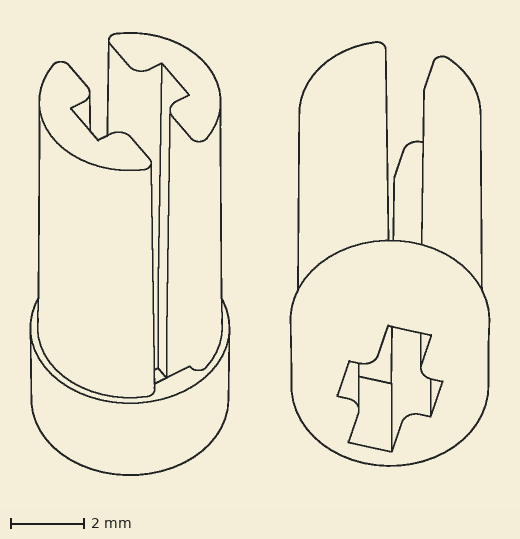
import cadquery as cq
import math

collar_top_radius = 2.73
collar_height = 3.15
collar_edge_radius = 0.15

post_foot_radius = 2.53
post_height = 9.5

collar_draft_angle = 0.5
post_draft_angle = 0.25
slot_draft_angle = 0.4
notch_end_draft_angle = 1.0

slot_half_width = 0.615
notch_half_width = 0.62
notch_half_length = 1.325
collar_slot_half_length = 2.06

inner_corner_radius = 0.4
outer_corner_radius = 0.25

position_tolerance = 0.01
upright_direction_min = 0.99


def draft_offset(height, angle):
    """Sideways shift of a drafted wall over the given height."""
    return height * math.tan(math.radians(angle))


collar_bottom_radius = collar_top_radius - draft_offset(collar_height, collar_draft_angle)
post_tip_radius = post_foot_radius - draft_offset(post_height, post_draft_angle)
wall_shift = draft_offset(post_height, slot_draft_angle)
notch_end_shift = draft_offset(post_height, notch_end_draft_angle)


def cone(bottom_radius, top_radius, base_z, height):
    """Slightly conical solid about the Z axis."""
    return cq.Workplane("XY").add(
        cq.Solid.makeCone(bottom_radius, top_radius, height, pnt=cq.Vector(0, 0, base_z))
    )


def block(half_x, half_y, base_z, height):
    """Straight block centred on the Z axis."""
    return cq.Workplane("XY").workplane(offset=base_z).rect(2 * half_x, 2 * half_y).extrude(height)


def flared_block(half_x, half_y, shift_x, shift_y):
    """Block over the post height whose sides open out towards the tip."""
    return (
        cq.Workplane("XY")
        .workplane(offset=collar_height)
        .rect(2 * half_x, 2 * half_y)
        .workplane(offset=post_height)
        .rect(2 * (half_x + shift_x), 2 * (half_y + shift_y))
        .loft(ruled=True)
    )


def slot_wall_edges(body, radius_min, radius_max):
    """Upright edges on the slot walls whose middle lies between two distances from the Z axis."""
    wall_min = slot_half_width - position_tolerance
    wall_max = slot_half_width + wall_shift + position_tolerance

    def matches(edge):
        middle = edge.positionAt(0.5)
        direction = edge.tangentAt(0.5)
        is_upright = abs(direction.z) > upright_direction_min
        is_at_wall = wall_min < abs(middle.y) < wall_max
        return is_upright and is_at_wall and radius_min < math.hypot(middle.x, middle.y) < radius_max

    return body.newObject([edge for edge in body.edges().vals() if matches(edge)])


def round_inner_corners(body):
    """Round the four corners where the key notches meet the slot."""
    return slot_wall_edges(body, 0, notch_half_length).fillet(inner_corner_radius)


def make_collar():
    """Collar with a rounded bottom rim and the straight cross opening through it."""
    collar = cone(collar_bottom_radius, collar_top_radius, 0, collar_height)
    collar = collar.faces("<Z").edges().fillet(collar_edge_radius)
    slot = block(collar_slot_half_length, slot_half_width, 0, collar_height)
    notch = block(notch_half_width, notch_half_length, 0, collar_height)
    return round_inner_corners(collar.cut(slot).cut(notch))


def make_post():
    """Conical post split along X by the flared slot, with two flared key notches along Y."""
    post = cone(post_foot_radius, post_tip_radius, collar_height, post_height)
    post = post.cut(flared_block(collar_top_radius, slot_half_width, 0, wall_shift))
    post = post.cut(flared_block(notch_half_width, notch_half_length, wall_shift, notch_end_shift))
    post = round_inner_corners(post)
    return slot_wall_edges(post, collar_slot_half_length, collar_top_radius).fillet(outer_corner_radius)


result = make_collar().union(make_post())